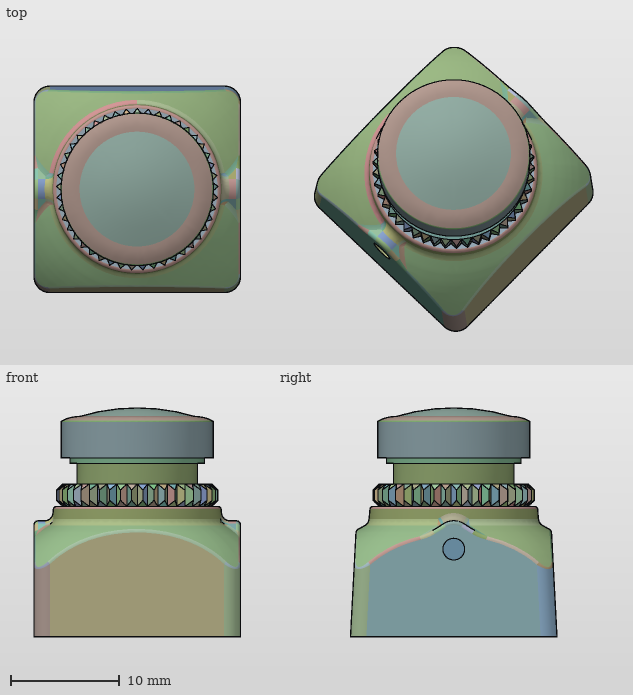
import cadquery as cq
import math

base_width = 19.0
half_width = base_width / 2
front_draft = 3.0
corner_radius = 1.5
blend_radius = 0.74
rim_radius = 0.4

shoulder_inner = (7.82, 10.39)
shoulder_middle = (10.07, 9.02)
shoulder_outer = (13.67, 4.18)

collar_top = 11.99
collar_top_radius = 7.7
collar_edge_radius = 0.32

ear_apex = 10.98
ear_flank_slope = 32.2
ear_top_radius = 1.72
ear_half_span = 5.25

hole_diameter = 2.0
hole_height = 8.05
hole_depth = 2.1

ring_bottom = collar_top
ring_top = 14.03
ring_radius = 7.42
groove_radius = 6.85
tooth_count = 45
groove_angle = -90.0
ring_bevel_height = 0.55

neck_radius = 5.55
flange_diameter = 12.39
flange_radius = flange_diameter / 2
flange_bottom = 15.95
cap_bottom = 16.45
cap_radius = 7.0
cap_shoulder = 19.79
cap_edge_radius = 0.17
lens_radius = 5.28
lens_edge_height = 20.25
border_middle = (6.2, 20.13)
total_height = 21.03

inner_zone = 8.83
rim_floor = 5.89

axis_start = (0, 0, 0)
axis_end = (0, 1, 0)


def lathe(profile):
    """Turn a closed YZ profile about the Z axis."""
    return profile.close().revolve(360, axis_start, axis_end)


def make_walls():
    """Block with upright X walls, Y walls leaning inwards and rounded upright corners."""
    lean = collar_top * math.tan(math.radians(front_draft))
    block = (
        cq.Workplane("YZ")
        .moveTo(-half_width, 0)
        .lineTo(half_width, 0)
        .lineTo(half_width - lean, collar_top)
        .lineTo(-half_width + lean, collar_top)
        .close()
        .extrude(half_width, both=True)
    )
    corners = block.edges("not(#Z or |X or |Y)")
    return corners.fillet(corner_radius)


def make_shoulder():
    """Domed shoulder and the slightly tapered collar standing on it."""
    shoulder = lathe(
        cq.Workplane("YZ")
        .moveTo(0, 0)
        .lineTo(shoulder_outer[0], 0)
        .lineTo(*shoulder_outer)
        .threePointArc(shoulder_middle, shoulder_inner)
        .lineTo(collar_top_radius, collar_top)
        .lineTo(0, collar_top)
    )
    return shoulder.faces(">Z").edges().fillet(collar_edge_radius)


def make_ears():
    """Gabled bar along X with a rounded ridge; its two ends form the ears."""
    flank_drop = ear_half_span * math.tan(math.radians(ear_flank_slope))
    bar = (
        cq.Workplane("YZ")
        .moveTo(-ear_half_span, 0)
        .lineTo(-ear_half_span, ear_apex - flank_drop)
        .lineTo(0, ear_apex)
        .lineTo(ear_half_span, ear_apex - flank_drop)
        .lineTo(ear_half_span, 0)
        .close()
        .extrude(base_width, both=True)
    )
    return bar.edges("|X and >Z").fillet(ear_top_radius)


def is_rim(edge):
    """Edges where the walls meet the shoulder and the ears."""
    center = edge.Center()
    beside_wall = max(abs(center.x), abs(center.y)) > inner_zone
    return beside_wall and center.z > rim_floor


def is_blend(edge):
    """Curved edges at the collar foot and where the ear flanks meet the shoulder."""
    center = edge.Center()
    inside = max(abs(center.x), abs(center.y)) < inner_zone
    below_collar_top = rim_floor < center.z < collar_top - collar_edge_radius
    return inside and below_collar_top and edge.geomType() != "LINE"


def make_housing():
    """Walls, shoulder, collar and ears with all their roundings, and the two side holes."""
    housing = make_walls().intersect(make_shoulder().union(make_ears()))
    housing = housing.edges().filter(is_blend).fillet(blend_radius)
    housing = housing.edges().filter(is_rim).fillet(rim_radius)
    for side in (-1, 1):
        hole = (
            cq.Workplane("YZ", origin=(side * half_width, 0, hole_height))
            .circle(hole_diameter / 2)
            .extrude(-side * hole_depth)
        )
        housing = housing.cut(hole)
    return housing


def make_lock_ring():
    """Ring with V-shaped teeth whose tips are bevelled at the top and bottom."""
    half_pitch = 180 / tooth_count
    outline = []
    for step in range(2 * tooth_count):
        radius = groove_radius if step % 2 == 0 else ring_radius
        angle = math.radians(groove_angle + step * half_pitch)
        outline.append((radius * math.cos(angle), radius * math.sin(angle)))
    teeth = (
        cq.Workplane("XY", origin=(0, 0, ring_bottom))
        .polyline(outline)
        .close()
        .extrude(ring_top - ring_bottom)
    )
    bevels = lathe(
        cq.Workplane("YZ")
        .moveTo(0, ring_bottom)
        .lineTo(groove_radius, ring_bottom)
        .lineTo(ring_radius, ring_bottom + ring_bevel_height)
        .lineTo(ring_radius, ring_top - ring_bevel_height)
        .lineTo(groove_radius, ring_top)
        .lineTo(0, ring_top)
    )
    return teeth.intersect(bevels)


def make_lens():
    """Lens barrel: neck, flange and cap, topped by a spherical lens with a rounded border."""
    lens_rise = total_height - lens_edge_height
    sphere_radius = (lens_radius ** 2 + lens_rise ** 2) / (2 * lens_rise)
    half_reach = lens_radius / 2
    half_reach_height = total_height - sphere_radius + math.sqrt(sphere_radius ** 2 - half_reach ** 2)
    lens = lathe(
        cq.Workplane("YZ")
        .moveTo(0, ring_bottom)
        .lineTo(neck_radius, ring_bottom)
        .lineTo(neck_radius, flange_bottom)
        .lineTo(flange_radius, flange_bottom)
        .lineTo(flange_radius, cap_bottom)
        .lineTo(cap_radius, cap_bottom)
        .lineTo(cap_radius, cap_shoulder)
        .threePointArc(border_middle, (lens_radius, lens_edge_height))
        .threePointArc((half_reach, half_reach_height), (0, total_height))
    )
    return lens.edges(cq.selectors.NearestToPointSelector((0, 0, cap_shoulder))).fillet(cap_edge_radius)


result = make_housing().union(make_lock_ring()).union(make_lens())